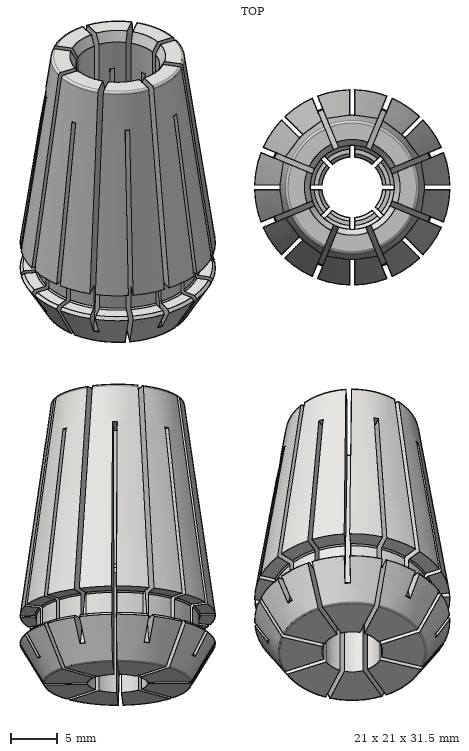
import cadquery as cq
import math

height = 31.5
max_radius = 10.5
taper_angle = 8.0
nose_angle = 30.0

nose_height = 4.47
rim_chamfer = 0.3
groove_top = 7.65
neck_radius = 8.73
neck_corner_chamfer = 0.15
top_fillet = 0.28
bottom_fillet = 0.2

upper_bore_radius = 9.0 / 2
ledge_outer_radius = 4.1
ledge_inner_radius = 3.62
clamp_radius = 3.25
mouth_radius = 5.15
mouth_angle = 30.0
step_angle = 30.0
ledge_height = 14.18

slot_count = 8
lower_slot_width = 0.5
upper_slot_width = 0.6
lower_slot_top = 27.03
floor_angle = 11.2
floor_end_height = 1.95
floor_end_radius = 8.9
slot_reach = max_radius + 1.58


def tan_deg(angle):
    return math.tan(math.radians(angle))


def make_body():
    """Revolve the outer profile: nose cone, groove and long taper."""
    rim_top = nose_height + rim_chamfer
    nose_radius = max_radius - nose_height * tan_deg(nose_angle)
    top_radius = max_radius - (height - groove_top) * tan_deg(taper_angle)
    flared_radius = neck_radius + neck_corner_chamfer
    profile = [
        (0, 0),
        (nose_radius, 0),
        (max_radius, nose_height),
        (max_radius - rim_chamfer, rim_top),
        (flared_radius, rim_top),
        (neck_radius, rim_top + neck_corner_chamfer),
        (neck_radius, groove_top - neck_corner_chamfer),
        (flared_radius, groove_top),
        (max_radius, groove_top),
        (top_radius, height),
        (0, height),
    ]
    body = cq.Workplane("XZ").polyline(profile).close().revolve(360, (0, 0), (0, 1))
    body = body.faces(">Z").edges().fillet(top_fillet)
    return body.faces("<Z").edges().fillet(bottom_fillet)


def make_bore():
    """Clamping bore, a ledge above it, the wider upper bore and its countersunk mouth."""
    mouth_depth = (mouth_radius - upper_bore_radius) / tan_deg(mouth_angle)
    lower_cone_height = (ledge_inner_radius - clamp_radius) / tan_deg(step_angle)
    upper_cone_height = (upper_bore_radius - ledge_outer_radius) / tan_deg(step_angle)
    profile = [
        (0, 0),
        (clamp_radius, 0),
        (clamp_radius, ledge_height - lower_cone_height),
        (ledge_inner_radius, ledge_height),
        (ledge_outer_radius, ledge_height),
        (upper_bore_radius, ledge_height + upper_cone_height),
        (upper_bore_radius, height - mouth_depth),
        (mouth_radius, height),
        (0, height),
    ]
    return cq.Workplane("XZ").polyline(profile).close().revolve(360, (0, 0), (0, 1))


def make_lower_slot():
    """Radial slot open at the bottom, ending square below the top."""
    return cq.Workplane("XY").box(
        slot_reach, lower_slot_width, lower_slot_top, centered=(False, True, False)
    )


def make_upper_slot():
    """Radial slot open at the top, with a floor sloping from the bore down to the nose."""
    floor_height_at_axis = floor_end_height + floor_end_radius / tan_deg(floor_angle)
    profile = [
        (0, floor_height_at_axis),
        (floor_end_radius, floor_end_height),
        (slot_reach, floor_end_height),
        (slot_reach, floor_height_at_axis),
    ]
    return cq.Workplane("XZ").polyline(profile).close().extrude(upper_slot_width / 2, both=True)


pitch = 360 / slot_count
result = make_body().cut(make_bore())
for index in range(slot_count):
    lower_angle = index * pitch
    upper_angle = lower_angle + pitch / 2
    result = result.cut(make_lower_slot().rotate((0, 0, 0), (0, 0, 1), lower_angle))
    result = result.cut(make_upper_slot().rotate((0, 0, 0), (0, 0, 1), upper_angle))